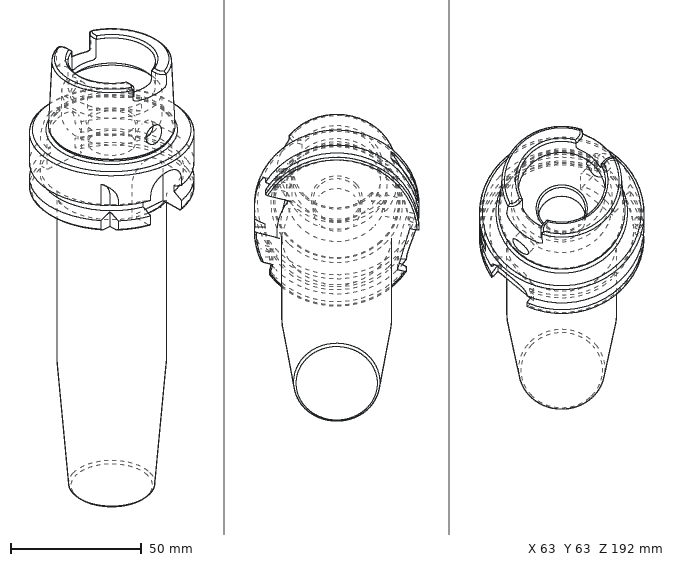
import cadquery as cq
import math

total_height = 192.0
flange_top = 160.1
flange_bottom = 134.0
nose_taper_height = 57.0

shank_top_radius = 45.7 / 2
shank_base_radius = 24.2
rim_chamfer = 1.0
relief_height = 1.7
relief_depth = 0.5
relief_outer_radius = 25.2

flange_radius = 31.5
flange_top_chamfer = 1.2
flange_bottom_chamfer = 0.8

groove_height = 142.0
groove_mouth_width = 7.0
groove_channel_width = 3.8
groove_floor_width = 2.7
groove_channel_mouth_radius = 28.8
groove_floor_radius = 27.5

body_radius = 42.0 / 2
neck_fillet = 2.9
nose_radius = 16.5
nose_chamfer = 1.0

mouth_bore_radius = 16.7
mouth_bore_depth = 12.3
undercut_radius = 19.2
undercut_fillet = 3.3
cavity_floor = 163.8
thread_radius = 9.0
thread_chamfer = 0.8
thread_depth = 9.6

slot_half_width = 6.3
slot_lip_radius = 3.8
slot_lip_start = 17.7
slot_floor_fillet = 1.5
slot_depth_minus_x = 10.0
slot_depth_plus_x = 6.0

cross_hole_radius = 4.0
cross_hole_height = 168.8

keyway_width_minus_x = 18.0
keyway_floor_minus_x = 26.5
keyway_top_minus_x = 155.3
keyway_width_plus_x = 16.1
keyway_floor_plus_x = 20.0
keyway_top_plus_x = 155.7
keyway_overrun = 0.2

notch_wall_offset = 19.5

flat_distance = 29.8
flat_height = 6.0
flat_center_height = 153.2
flat_angle = 135

clearance = 9.6


def turned_body():
    relief_radius = shank_base_radius - relief_depth
    mouth_half = groove_mouth_width / 2
    channel_half = groove_channel_width / 2
    floor_half = groove_floor_width / 2
    return (
        cq.Workplane("YZ")
        .moveTo(0, 0)
        .lineTo(nose_radius - nose_chamfer, 0)
        .lineTo(nose_radius, nose_chamfer)
        .lineTo(body_radius, nose_taper_height)
        .lineTo(body_radius, flange_bottom - neck_fillet)
        .radiusArc((body_radius + neck_fillet, flange_bottom), neck_fillet)
        .lineTo(flange_radius - flange_bottom_chamfer, flange_bottom)
        .lineTo(flange_radius, flange_bottom + flange_bottom_chamfer)
        .lineTo(flange_radius, groove_height - mouth_half)
        .lineTo(groove_channel_mouth_radius, groove_height - channel_half)
        .lineTo(groove_floor_radius, groove_height - floor_half)
        .lineTo(groove_floor_radius, groove_height + floor_half)
        .lineTo(groove_channel_mouth_radius, groove_height + channel_half)
        .lineTo(flange_radius, groove_height + mouth_half)
        .lineTo(flange_radius, flange_top - flange_top_chamfer)
        .lineTo(flange_radius - flange_top_chamfer, flange_top)
        .lineTo(relief_outer_radius, flange_top)
        .lineTo(relief_radius, flange_top + relief_height / 3)
        .lineTo(relief_radius, flange_top + relief_height * 2 / 3)
        .lineTo(shank_base_radius, flange_top + relief_height)
        .lineTo(shank_top_radius, total_height)
        .lineTo(0, total_height)
        .close()
        .revolve(360, (0, 0, 0), (0, 1, 0))
    )


def cavity():
    bore_end = total_height - mouth_bore_depth
    undercut_depth = undercut_radius - mouth_bore_radius
    return (
        cq.Workplane("YZ")
        .moveTo(0, total_height)
        .lineTo(mouth_bore_radius, total_height)
        .lineTo(mouth_bore_radius, bore_end)
        .lineTo(undercut_radius, bore_end - undercut_depth)
        .lineTo(undercut_radius, cavity_floor + undercut_fillet)
        .radiusArc((undercut_radius - undercut_fillet, cavity_floor), undercut_fillet)
        .lineTo(thread_radius + thread_chamfer, cavity_floor)
        .lineTo(thread_radius, cavity_floor - thread_chamfer)
        .lineTo(thread_radius, cavity_floor - thread_depth)
        .lineTo(0, cavity_floor - thread_depth)
        .close()
        .revolve(360, (0, 0, 0), (0, 1, 0))
    )


def drive_slot(side, depth):
    """Slot in the top rim; side is +1 for +X and -1 for -X. Its walls flare outward in round lips."""
    lip_end = slot_lip_start + slot_lip_radius
    flare = slot_half_width + slot_lip_radius
    middle = slot_lip_radius * math.sqrt(0.5)
    lip_middle = (slot_lip_start + middle, flare - middle)
    outer_end = lip_end + clearance
    outer_half_width = flare + clearance
    cutter = (
        cq.Workplane("XY", origin=(0, 0, total_height - depth))
        .moveTo(0, -slot_half_width)
        .lineTo(slot_lip_start, -slot_half_width)
        .threePointArc((lip_middle[0], -lip_middle[1]), (lip_end, -flare))
        .lineTo(lip_end, -outer_half_width)
        .lineTo(outer_end, -outer_half_width)
        .lineTo(outer_end, outer_half_width)
        .lineTo(lip_end, outer_half_width)
        .lineTo(lip_end, flare)
        .threePointArc(lip_middle, (slot_lip_start, slot_half_width))
        .lineTo(0, slot_half_width)
        .close()
        .extrude(depth + clearance)
        .faces("<Z")
        .edges()
        .fillet(slot_floor_fillet)
    )
    return cutter if side > 0 else cutter.rotate((0, 0, 0), (0, 0, 1), 180)


def arched_slot(width, floor, top, center_y=0):
    """Round-topped slot reaching out along +X from its floor and open at the flange underside."""
    radius = width / 2
    arch_height = top - radius
    bottom = flange_bottom - keyway_overrun
    return (
        cq.Workplane("YZ", origin=(floor, center_y, 0))
        .moveTo(-radius, bottom)
        .lineTo(-radius, arch_height)
        .threePointArc((0, top), (radius, arch_height))
        .lineTo(radius, bottom)
        .close()
        .extrude(flange_radius - floor + clearance)
    )


def marking_flat():
    length = 2 * flange_radius
    return (
        cq.Workplane("XY")
        .box(clearance, length, flat_height, centered=(False, True, True))
        .translate((flat_distance, 0, flat_center_height))
        .rotate((0, 0, 0), (0, 0, 1), flat_angle)
    )


def cross_hole():
    return (
        cq.Workplane("YZ")
        .center(0, cross_hole_height)
        .circle(cross_hole_radius)
        .extrude(flange_radius, both=True)
    )


keyway_plus_x = arched_slot(keyway_width_plus_x, keyway_floor_plus_x, keyway_top_plus_x)
keyway_minus_x = arched_slot(keyway_width_minus_x, keyway_floor_minus_x, keyway_top_minus_x)
keyway_minus_x = keyway_minus_x.rotate((0, 0, 0), (0, 0, 1), 180)
notch_center_y = -notch_wall_offset - keyway_width_plus_x / 2
notch = arched_slot(keyway_width_plus_x, keyway_floor_plus_x, keyway_top_plus_x, notch_center_y)

result = (
    turned_body()
    .cut(cavity())
    .cut(drive_slot(-1, slot_depth_minus_x))
    .cut(drive_slot(1, slot_depth_plus_x))
    .faces(">Z")
    .chamfer(rim_chamfer)
    .cut(cross_hole())
    .cut(keyway_plus_x)
    .cut(keyway_minus_x)
    .cut(notch)
    .cut(marking_flat())
)